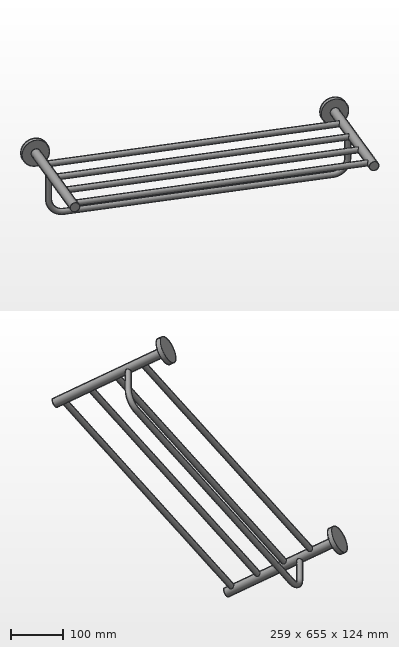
import cadquery as cq

overall_depth = 259.0
overall_width = 655.0
overall_height = 124.0

flange_diameter = 55.0
flange_thickness = 10.0

arm_diameter = 19.0

rod_diameter = 12.0
rod_count = 4
first_rod_x = 61.0
last_rod_x = 241.0
bend_radius = 30.0

rod_spacing = (last_rod_x - first_rod_x) / (rod_count - 1)
arm_y = (overall_width - flange_diameter) / 2
rail_x = first_rod_x + rod_spacing / 2
rail_z = flange_diameter / 2 - overall_height + rod_diameter / 2


def make_cylinder_along_x(y, diameter, length):
    """Round bar standing on the wall face at the given Y."""
    return cq.Workplane("YZ").center(y, 0).circle(diameter / 2).extrude(length)


def make_bracket(y):
    """Wall flange with the arm that projects from it."""
    flange = make_cylinder_along_x(y, flange_diameter, flange_thickness)
    arm = make_cylinder_along_x(y, arm_diameter, overall_depth)
    return flange.union(arm)


def make_shelf_rod(x):
    """Straight rod joining the two arm axes."""
    return cq.Workplane("XZ", origin=(x, 0, 0)).circle(rod_diameter / 2).extrude(arm_y, both=True)


def make_towel_rail():
    """U-shaped rail hanging from the arm axes, with rounded lower corners."""
    straight_half = arm_y - bend_radius
    bend_top_z = rail_z + bend_radius
    path = (
        cq.Workplane("YZ", origin=(rail_x, 0, 0))
        .moveTo(-arm_y, 0)
        .lineTo(-arm_y, bend_top_z)
        .tangentArcPoint((-straight_half, rail_z), relative=False)
        .lineTo(straight_half, rail_z)
        .tangentArcPoint((arm_y, bend_top_z), relative=False)
        .lineTo(arm_y, 0)
    )
    return cq.Workplane("XY", origin=(rail_x, -arm_y, 0)).circle(rod_diameter / 2).sweep(path)


result = make_bracket(-arm_y).union(make_bracket(arm_y))
for rod_index in range(rod_count):
    result = result.union(make_shelf_rod(first_rod_x + rod_index * rod_spacing))
result = result.union(make_towel_rail())